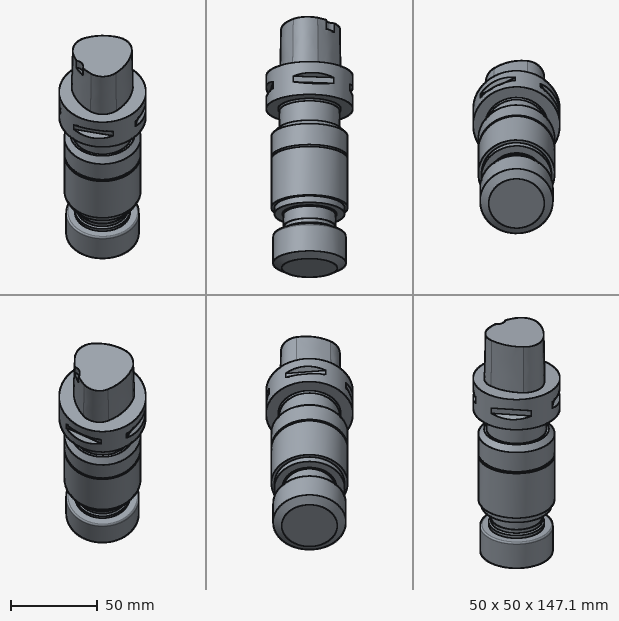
import cadquery as cq
import math

shank_length = 30.0
shank_taper = 1.1
lobe_radius = 11.67
lobe_count = 3
lobe_offset = 6.9
flat_distance = 16.19

keyway_radius = 4.7
keyway_depth = 5.5
keyway_bottom_y = -13.81

flange_diameter = 50.0
flange_thickness = 20.0
groove_z = -flange_thickness / 2
groove_floor_radius = 22.15
groove_floor_width = 3.45
groove_flank_angle = 30.0
first_groove_angle = 45.0
groove_count = 4
cutter_clearance = 1.0

neck_diameter = 34.6
neck_top_diameter = 36.2
neck_cone_height = 1.2
neck_bottom_z = -33.5

sleeve_diameter = 44.0
sleeve_chamfer = 3.3
ring_bottom_z = -49.55
gap_diameter = 41.0
body_top_z = -50.8
body_bottom_z = -80.3

step_diameter = 40.4
step_bottom_z = -84.2
spindle_diameter = 30.0
spindle_top_diameter = 31.3
spindle_cone_height = 0.5
spindle_bottom_z = -92.0
undercut_diameter = 29.59
collar_diameter = 31.98
collar_cone_top_z = -94.35
collar_cone_bottom_z = -95.2

nut_diameter = 42.0
nut_height = 20.0
nut_bottom_z = -117.1
nut_top_z = nut_bottom_z + nut_height
nut_edge_radius = 1.0
nut_face_diameter = 31.98
nut_cone_angle = 30.0


def polar(radius, angle):
    """Point at a radius and an angle in degrees around the Z axis."""
    return (radius * math.cos(math.radians(angle)), radius * math.sin(math.radians(angle)))


def make_shank():
    """Tapered three-lobed polygon made of six tangent arcs."""
    half_pitch = 180 / lobe_count
    lobe_x, lobe_height = polar(lobe_offset, half_pitch - 90)
    reach = flat_distance + lobe_height
    wide_radius = (lobe_x**2 + reach**2 - lobe_radius**2) / (2 * (reach - lobe_radius))
    wide_offset = wide_radius - flat_distance
    half_span = math.degrees(math.atan2(lobe_x, wide_offset - lobe_height))
    seam_x = wide_radius * math.sin(math.radians(half_span))
    seam_y = wide_offset - wide_radius * math.cos(math.radians(half_span))
    seam_radius = math.hypot(seam_x, seam_y)
    seam_angle = math.degrees(math.atan2(seam_x, -seam_y))

    outline = cq.Workplane("XY").moveTo(*polar(seam_radius, -90 - seam_angle))
    for lobe in range(lobe_count):
        wide_angle = -90 + 2 * half_pitch * lobe
        outline = outline.threePointArc(
            polar(flat_distance, wide_angle), polar(seam_radius, wide_angle + seam_angle)
        )
        outline = outline.threePointArc(
            polar(lobe_offset + lobe_radius, wide_angle + half_pitch),
            polar(seam_radius, wide_angle + 2 * half_pitch - seam_angle),
        )
    return outline.close().extrude(shank_length, taper=shank_taper)


def make_keyway():
    """Upright cylinder that cuts the keyway into the shank."""
    return (
        cq.Workplane("XY", origin=(0, keyway_bottom_y - keyway_radius, shank_length - keyway_depth))
        .circle(keyway_radius)
        .extrude(keyway_depth)
    )


def make_body():
    """Everything below the shank, turned about the Z axis."""
    nut_cone_height = (nut_diameter - nut_face_diameter) / 2 * math.tan(math.radians(nut_cone_angle))
    profile = [
        (0, 0),
        (flange_diameter, 0),
        (flange_diameter, -flange_thickness),
        (neck_top_diameter, -flange_thickness),
        (neck_diameter, -flange_thickness - neck_cone_height),
        (neck_diameter, neck_bottom_z),
        (sleeve_diameter - 2 * sleeve_chamfer, neck_bottom_z),
        (sleeve_diameter, neck_bottom_z - sleeve_chamfer),
        (sleeve_diameter, ring_bottom_z),
        (gap_diameter, body_top_z),
        (sleeve_diameter, body_top_z),
        (sleeve_diameter, body_bottom_z),
        (step_diameter, body_bottom_z),
        (step_diameter, step_bottom_z),
        (spindle_top_diameter, step_bottom_z),
        (spindle_diameter, step_bottom_z - spindle_cone_height),
        (spindle_diameter, spindle_bottom_z),
        (undercut_diameter, spindle_bottom_z),
        (undercut_diameter, collar_cone_top_z),
        (collar_diameter, collar_cone_bottom_z),
        (collar_diameter, nut_top_z),
        (nut_diameter, nut_top_z),
        (nut_diameter, nut_bottom_z + nut_cone_height),
        (nut_face_diameter, nut_bottom_z),
        (0, nut_bottom_z),
    ]
    points = [(diameter / 2, z) for diameter, z in profile]
    body = cq.Workplane("XZ").polyline(points).close().revolve(360, (0, 0), (0, 1))
    nut_top_face = cq.selectors.NearestToPointSelector((0, 0, nut_top_z))
    outer_rim = cq.selectors.RadiusNthSelector(-1)
    return body.faces(nut_top_face).edges(outer_rim).fillet(nut_edge_radius)


def make_gripper_groove(angle):
    """Straight trapezoidal groove cutter across the flange rim at one angle."""
    outer_radius = flange_diameter / 2 + cutter_clearance
    floor_half = groove_floor_width / 2
    flank_rise = (outer_radius - groove_floor_radius) * math.tan(math.radians(groove_flank_angle))
    mouth_half = floor_half + flank_rise
    return (
        cq.Workplane("XZ")
        .moveTo(groove_floor_radius, groove_z - floor_half)
        .lineTo(outer_radius, groove_z - mouth_half)
        .lineTo(outer_radius, groove_z + mouth_half)
        .lineTo(groove_floor_radius, groove_z + floor_half)
        .close()
        .extrude(flange_diameter / 2, both=True)
        .rotate((0, 0, 0), (0, 0, 1), angle)
    )


result = make_body().union(make_shank()).cut(make_keyway())
for index in range(groove_count):
    result = result.cut(make_gripper_groove(first_groove_angle + index * 360 / groove_count))